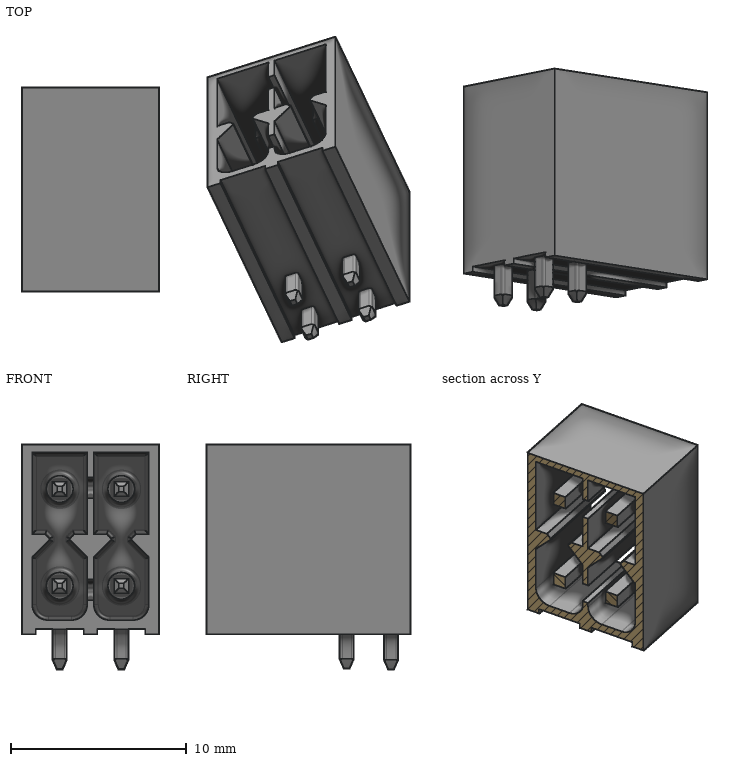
import cadquery as cq
import math


housing_width = 7.8
housing_depth = 11.6
housing_height = 10.8
column_pitch = 3.5
column_centers = (-column_pitch / 2, column_pitch / 2)

channel_width = 2.72
foot_height = 0.3

cavity_width = 3.13
cavity_depth = 7.0
cavity_bottom = 0.81
cavity_top = housing_height - 0.45
cavity_corner_radius = 0.9
cavity_floor_fillet = 0.24

rib_top = 5.7
rib_tip_height = 5.41
rib_tip_gap = 1.16
rib_tip_flat = 0.09

slot_width = 1.18
slot_depth = 6.5
slot_heights = (2.53, 8.33)

row_pitch = 5.5
lower_row_height = 2.76
upper_row_height = lower_row_height + row_pitch
pin_size = 0.82
pin_tip_size = 0.3
pin_tip_length = 0.5
pin_front = 2.5
tail_corner_radius = 0.15
tail_tip_size = 0.33
tail_tip_length = 0.57
tail_pitch = 2.52
rear_tail_y = housing_depth - 1.11
front_tail_y = rear_tail_y - tail_pitch
rear_tail_end = -2.0
front_tail_end = -1.95

pin_rows = (
    (lower_row_height, front_tail_y, front_tail_end),
    (upper_row_height, rear_tail_y, rear_tail_end),
)

boss_radius = 0.76
boss_flare = 0.33
boss_height = 0.5


def make_cavity(column_x):
    """Hourglass-shaped pocket for one column, rounded where its walls meet its floor."""
    half_width = cavity_width / 2
    half_gap = rib_tip_gap / 2
    tip_upper = rib_tip_height + rib_tip_flat / 2
    tip_lower = rib_tip_height - rib_tip_flat / 2
    rib_shoulder = half_gap + (rib_top - tip_upper)
    rib_root = tip_lower - (half_width - half_gap)

    outline = [
        (-half_width, cavity_bottom),
        (half_width, cavity_bottom),
        (half_width, rib_root),
        (half_gap, tip_lower),
        (half_gap, tip_upper),
        (rib_shoulder, rib_top),
        (half_width, rib_top),
        (half_width, cavity_top),
        (-half_width, cavity_top),
        (-half_width, rib_top),
        (-rib_shoulder, rib_top),
        (-half_gap, tip_upper),
        (-half_gap, tip_lower),
        (-half_width, rib_root),
    ]
    cavity = cq.Workplane("XZ").polyline(outline).close().extrude(-cavity_depth)
    cavity = cavity.edges("|Y and <Z").fillet(cavity_corner_radius)
    cavity = cavity.faces(">Y").edges().fillet(cavity_floor_fillet)
    return cavity.translate((column_x, 0, 0))


def make_slot(height):
    """Round-ended slot through the wall between the two cavities."""
    slot_radius = slot_width / 2
    return (
        cq.Workplane("YZ")
        .moveTo(0, height - slot_radius)
        .lineTo(slot_depth - slot_radius, height - slot_radius)
        .threePointArc((slot_depth, height), (slot_depth - slot_radius, height + slot_radius))
        .lineTo(0, height + slot_radius)
        .close()
        .extrude(column_pitch / 2 - cavity_width / 2, both=True)
    )


def make_boss(column_x, height):
    """Round boss on the cavity floor, with a concave flare at its base."""
    flare_radius = boss_radius + boss_flare
    flare_start = cavity_depth - boss_flare
    flare_center = (flare_radius, flare_start)
    diagonal = boss_flare * math.sqrt(0.5)
    return (
        cq.Workplane("XY")
        .moveTo(0, cavity_depth)
        .lineTo(flare_radius, cavity_depth)
        .threePointArc(
            (flare_center[0] - diagonal, flare_center[1] + diagonal),
            (boss_radius, flare_start),
        )
        .lineTo(boss_radius, cavity_depth - boss_height)
        .lineTo(0, cavity_depth - boss_height)
        .close()
        .revolve(360, (0, 0, 0), (0, 1, 0))
        .translate((column_x, 0, height))
    )


def make_pin(column_x, height, tail_y, tail_end):
    """Right-angle pin: square contact pointing at the mating face, round-edged tail pointing down."""
    contact_start = pin_front + pin_tip_length
    contact = cq.Workplane("XZ", origin=(column_x, contact_start, height))
    contact_bar = contact.rect(pin_size, pin_size).extrude(contact_start - tail_y)
    contact_tip = (
        contact.rect(pin_size, pin_size)
        .workplane(offset=pin_tip_length)
        .rect(pin_tip_size, pin_tip_size)
        .loft()
    )

    tail_top = height + pin_size / 2
    tail_shoulder = tail_end + tail_tip_length
    tail = (
        cq.Workplane("XY", origin=(column_x, tail_y, tail_end))
        .rect(pin_size, pin_size)
        .extrude(tail_top - tail_end)
        .edges("|Z")
        .fillet(tail_corner_radius)
    )
    shaft_limit = (
        cq.Workplane("XY", origin=(column_x, tail_y, tail_shoulder))
        .rect(pin_size, pin_size)
        .extrude(tail_top - tail_shoulder)
    )
    tip_limit = (
        cq.Workplane("XY", origin=(column_x, tail_y, tail_end))
        .rect(tail_tip_size, tail_tip_size)
        .workplane(offset=tail_tip_length)
        .rect(pin_size, pin_size)
        .loft()
    )
    tail = tail.intersect(shaft_limit.union(tip_limit))
    return contact_bar.union(contact_tip).union(tail)


def make_housing(pins):
    """Block with feet, cavities, slots and bosses, and a matching hole for every pin."""
    housing = cq.Workplane("XY").box(
        housing_width, housing_depth, housing_height, centered=(True, False, False)
    )
    for column_x in column_centers:
        channel = (
            cq.Workplane("XY")
            .box(channel_width, housing_depth, foot_height, centered=(True, False, False))
            .translate((column_x, 0, 0))
        )
        housing = housing.cut(channel).cut(make_cavity(column_x))
        for height, _, _ in pin_rows:
            housing = housing.union(make_boss(column_x, height))
    for height in slot_heights:
        housing = housing.cut(make_slot(height))
    for pin in pins:
        housing = housing.cut(pin)
    return housing


contact_pins = [
    make_pin(column_x, height, tail_y, tail_end)
    for column_x in column_centers
    for height, tail_y, tail_end in pin_rows
]
housing = make_housing(contact_pins)

result = cq.Compound.makeCompound([housing.val(), *[pin.val() for pin in contact_pins]])